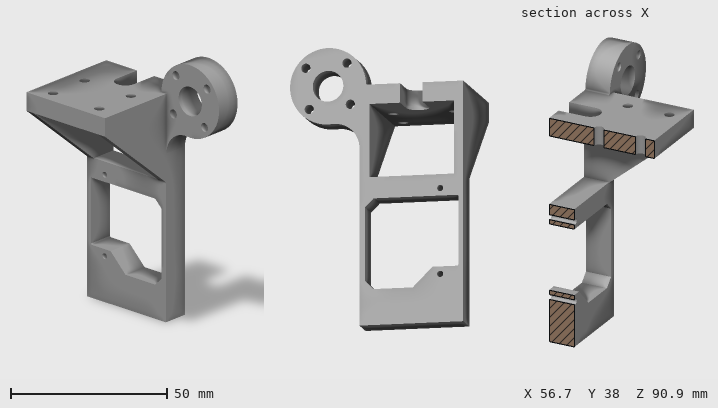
import cadquery as cq
import math

total_height = 90.9
total_length = 56.7
depth = 38.0
width = 34.0
wall = 9.1
shelf = 6.4

lug_radius = 12.45
lug_thickness = 8.8
lug_bore = 10.0
lug_hole = 3.0
lug_hole_circle = 9.5
lug_hole_angle = 40.3
lug_hole_count = 4
upper_blend = 0.5
lower_blend = 8.2
shelf_top = total_height - lug_radius
lug_x = total_length - lug_radius
lug_z = shelf_top

gusset_bottom = shelf_top - 30.4
gusset_fillet = 1.0
window_bottom = shelf_top - 30.2
left_gusset = 3.0
right_gusset = 3.3

slot_width = 7.4
slot_x = width / 2
slot_depth = 13.3
shelf_hole = 3.4
shelf_hole_x = 6.9
shelf_hole_y = 17.9
shelf_hole_pitch_x = 20.0
shelf_hole_pitch_y = 15.0

opening_left = 1.5
opening_right = 32.2
opening_top = 41.3
opening_bottom = 11.7
opening_step = 18.2
sill_end = 10.1
opening_chamfer = 2.8
corner_cut = 0.4
screw_hole = 2.0
screw_x = 7.5
screw_heights = (15.7, 43.7)


def make_body():
    profile = [
        (0, 0),
        (-wall, 0),
        (-wall, gusset_bottom),
        (-depth, shelf_top - shelf),
        (-depth, shelf_top),
        (0, shelf_top),
    ]
    body = cq.Workplane("YZ").polyline(profile).close().extrude(width)
    slope_foot = cq.selectors.NearestToPointSelector((width / 2, -wall, gusset_bottom))
    body = body.edges(slope_foot).fillet(gusset_fillet)

    body = body.cut(make_window_block(window_bottom, depth, 0))
    return body.cut(make_window_block(gusset_bottom - gusset_fillet, depth - wall, wall))


def make_window_block(bottom, block_depth, setback):
    """Block between the gussets, from bottom up to the shelf, starting setback from the back face."""
    block = cq.Workplane("XY").box(
        width - left_gusset - right_gusset,
        block_depth,
        shelf_top - shelf - bottom,
        centered=False,
    )
    return block.translate((left_gusset, -setback - block_depth, bottom))


def cylinder_y(x, z, radius, length):
    """Cylinder running forward from the back face."""
    return cq.Workplane("XZ").center(x, z).circle(radius).extrude(length)


def make_blend(outline, center, radius):
    """Fill a corner beside the lug, leaving a concave arc about center."""
    fill = cq.Workplane("XZ").polyline(outline).close().extrude(lug_thickness)
    return fill.cut(cylinder_y(*center, radius, lug_thickness))


def make_lug():
    lug_center = (lug_x, lug_z)
    lug = cylinder_y(*lug_center, lug_radius, lug_thickness)

    upper_run = math.sqrt((lug_radius + upper_blend) ** 2 - upper_blend**2)
    upper_center = (lug_x - upper_run, shelf_top + upper_blend)
    upper_touch = (upper_center[0], shelf_top)
    upper_outline = [upper_touch, upper_center, lug_center]
    lug = lug.union(make_blend(upper_outline, upper_center, upper_blend))

    lower_x = width + lower_blend
    lower_drop = math.sqrt((lug_radius + lower_blend) ** 2 - (lug_x - lower_x) ** 2)
    lower_center = (lower_x, lug_z - lower_drop)
    lower_touch = (width, lower_center[1])
    lower_outline = [lower_touch, lower_center, lug_center, (width, shelf_top)]
    return lug.union(make_blend(lower_outline, lower_center, lower_blend))


def make_lug_holes():
    bore = cylinder_y(lug_x, lug_z, lug_bore / 2, lug_thickness)
    bolts = (
        cq.Workplane("XZ")
        .center(lug_x, lug_z)
        .polarArray(lug_hole_circle, lug_hole_angle, 360, lug_hole_count)
        .circle(lug_hole / 2)
        .extrude(lug_thickness)
    )
    return bore.union(bolts)


def make_shelf_cuts():
    plane = cq.Workplane("XY", origin=(0, 0, shelf_top))
    slot_radius = slot_width / 2
    left = slot_x - slot_radius
    right = slot_x + slot_radius
    slot = (
        plane.moveTo(left, 0)
        .lineTo(left, slot_radius - slot_depth)
        .threePointArc((slot_x, -slot_depth), (right, slot_radius - slot_depth))
        .lineTo(right, 0)
        .close()
        .extrude(-shelf)
    )
    holes = (
        plane.center(
            shelf_hole_x + shelf_hole_pitch_x / 2,
            -shelf_hole_y - shelf_hole_pitch_y / 2,
        )
        .rect(shelf_hole_pitch_x, shelf_hole_pitch_y, forConstruction=True)
        .vertices()
        .circle(shelf_hole / 2)
        .extrude(-shelf)
    )
    return slot.union(holes)


def make_lower_opening():
    slope_end = sill_end + opening_step - opening_bottom
    outline = [
        (opening_left + corner_cut, opening_step),
        (sill_end, opening_step),
        (slope_end, opening_bottom),
        (opening_right - opening_chamfer, opening_bottom),
        (opening_right, opening_bottom + opening_chamfer),
        (opening_right, opening_top - opening_chamfer),
        (opening_right - opening_chamfer, opening_top),
        (opening_left + corner_cut, opening_top),
        (opening_left, opening_top - corner_cut),
        (opening_left, opening_step + corner_cut),
    ]
    return cq.Workplane("XZ").polyline(outline).close().extrude(wall)


result = make_body().union(make_lug())
result = result.cut(make_lug_holes()).cut(make_shelf_cuts()).cut(make_lower_opening())
for height in screw_heights:
    result = result.cut(cylinder_y(screw_x, height, screw_hole / 2, wall))